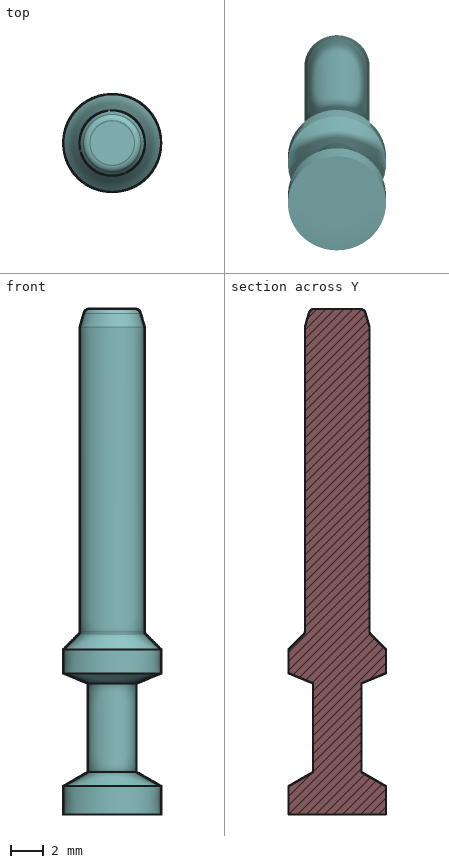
import cadquery as cq
import math

flange_diameter = 6.0
shank_diameter = 4.0
neck_diameter = 3.0

total_height = 31.0
foot_rim_top = 1.75
collar_bottom = 8.03
collar_rim_top = 10.1
tip_taper_start = 29.85

foot_slope = math.radians(30)
collar_underside_slope = math.radians(22.5)
collar_top_slope = math.radians(45)
tip_taper = math.radians(16)
tip_fillet = 0.4
collar_fillet = 0.2

flange_radius = flange_diameter / 2
shank_radius = shank_diameter / 2
neck_radius = neck_diameter / 2
neck_step = flange_radius - neck_radius
shank_step = flange_radius - shank_radius

foot_top = foot_rim_top + neck_step * math.tan(foot_slope)
collar_rim_bottom = collar_bottom + neck_step * math.tan(collar_underside_slope)
collar_top = collar_rim_top + shank_step * math.tan(collar_top_slope)
tip_radius = shank_radius - (total_height - tip_taper_start) * math.tan(tip_taper)

profile = (
    cq.Workplane("XZ")
    .moveTo(0, 0)
    .lineTo(flange_radius, 0)
    .lineTo(flange_radius, foot_rim_top)
    .lineTo(neck_radius, foot_top)
    .lineTo(neck_radius, collar_bottom)
    .lineTo(flange_radius, collar_rim_bottom)
    .lineTo(flange_radius, collar_rim_top)
    .lineTo(shank_radius, collar_top)
    .lineTo(shank_radius, tip_taper_start)
    .lineTo(tip_radius, total_height)
    .lineTo(0, total_height)
    .close()
)
pin = profile.revolve(360, (0, 0, 0), (0, 1, 0))


def edge_at(height):
    """Select the circular edge lying in the horizontal plane at this height."""
    margin = 0.003
    return cq.selectors.BoxSelector(
        (-flange_diameter, -flange_diameter, height - margin),
        (flange_diameter, flange_diameter, height + margin),
        boundingbox=True,
    )


pin = pin.edges(edge_at(total_height)).fillet(tip_fillet)
result = pin.edges(edge_at(collar_top)).fillet(collar_fillet)